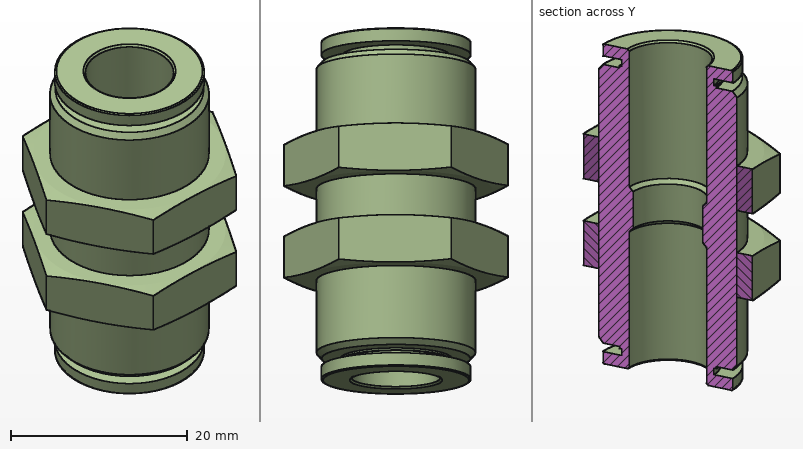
import cadquery as cq
import math

total_length = 39.0
half_length = total_length / 2

barrel_diameter = 18.0
barrel_end_diameter = 16.8
barrel_chamfer_height = 0.65

flange_diameter = 16.93
flange_thickness = 1.52
flange_chamfer_width = 0.2
flange_chamfer_height = 0.1
neck_diameter = 12.0
neck_root_diameter = 12.6
neck_length = 0.98
neck_root_height = 0.25

bore_diameter = 9.0
socket_diameter = 10.0
socket_depth = 16.77
socket_cone_height = (socket_diameter - bore_diameter) / 2
socket_chamfer = 0.25

nut_across_flats = 22.0
nut_height = 5.5
nut_gap = 5.07
nut_face_diameter = 21.8
nut_chamfer_angle = 12.0

flange_inner_z = half_length - flange_thickness
barrel_end_z = flange_inner_z - neck_length
socket_floor_z = half_length - socket_depth


def make_fitting_body():
    """Revolve the fitting about Z from a section that is symmetric about its middle."""
    upper_outline = [
        (barrel_diameter / 2, barrel_end_z - barrel_chamfer_height),
        (barrel_end_diameter / 2, barrel_end_z),
        (neck_root_diameter / 2, barrel_end_z),
        (neck_root_diameter / 2, barrel_end_z + neck_root_height),
        (neck_diameter / 2, barrel_end_z + neck_root_height),
        (neck_diameter / 2, flange_inner_z),
        (flange_diameter / 2, flange_inner_z),
        (flange_diameter / 2, half_length - flange_chamfer_height),
        (flange_diameter / 2 - flange_chamfer_width, half_length),
        (socket_diameter / 2 + socket_chamfer, half_length),
        (socket_diameter / 2, half_length - socket_chamfer),
        (socket_diameter / 2, socket_floor_z),
        (bore_diameter / 2, socket_floor_z - socket_cone_height),
    ]
    lower_outline = [(radius, -z) for radius, z in reversed(upper_outline)]
    section = cq.Workplane("XZ").polyline(upper_outline + lower_outline).close()
    return section.revolve(360, (0, 0, 0), (0, 1, 0))


def make_nut(center_z):
    """Hexagonal nut with conically chamfered corners, two flats facing +X and -X."""
    across_corners = nut_across_flats / math.cos(math.radians(30))
    corner_radius = across_corners / 2
    face_radius = nut_face_diameter / 2
    corner_drop = (corner_radius - face_radius) * math.tan(math.radians(nut_chamfer_angle))
    half_height = nut_height / 2

    hexagon = (
        cq.Workplane("XY")
        .polygon(6, across_corners)
        .extrude(half_height, both=True)
        .rotate((0, 0, 0), (0, 0, 1), 30)
    )
    chamfer_envelope = (
        cq.Workplane("XZ")
        .moveTo(0, -half_height)
        .lineTo(face_radius, -half_height)
        .lineTo(corner_radius, corner_drop - half_height)
        .lineTo(corner_radius, half_height - corner_drop)
        .lineTo(face_radius, half_height)
        .lineTo(0, half_height)
        .close()
        .revolve(360, (0, 0, 0), (0, 1, 0))
    )
    barrel_hole = cq.Workplane("XY").circle(barrel_diameter / 2).extrude(half_height, both=True)
    nut = hexagon.intersect(chamfer_envelope).cut(barrel_hole)
    return nut.translate((0, 0, center_z))


fitting_body = make_fitting_body()

nut_offset = (nut_gap + nut_height) / 2
nuts = [make_nut(side * nut_offset) for side in (-1, 1)]

result = cq.Compound.makeCompound([fitting_body.val(), *[nut.val() for nut in nuts]])